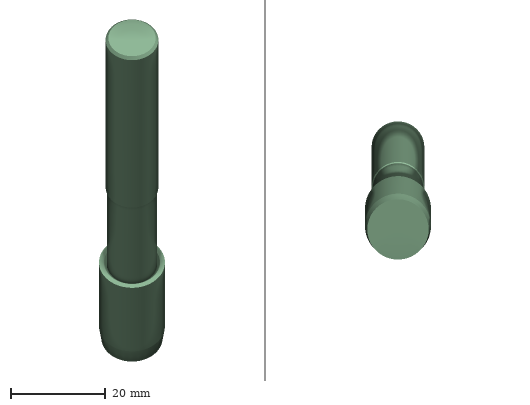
import cadquery as cq

total_length = 100.0

sleeve_diameter = 14.0
sleeve_length = 25.2
taper_length = 4.0
taper_end_diameter = 13.0
mouth_chamfer = 0.6

shank_diameter = 10.7
head_diameter = 11.2
head_bottom = 50.0
head_step_chamfer = (head_diameter - shank_diameter) / 2
tip_chamfer = 0.6


def revolve_profile(points):
    """Turn a closed (radius, height) outline about the Z axis."""
    return cq.Workplane("XZ").polyline(points).close().revolve(360, (0, 0), (0, 1))


def make_sleeve():
    """Tube whose bore fits the rod shank."""
    bore_radius = shank_diameter / 2
    outer_radius = sleeve_diameter / 2
    return revolve_profile([
        (bore_radius, 0),
        (taper_end_diameter / 2, 0),
        (outer_radius, taper_length),
        (outer_radius, sleeve_length),
        (bore_radius + mouth_chamfer, sleeve_length),
        (bore_radius, sleeve_length - mouth_chamfer),
    ])


def make_rod():
    """Stepped rod running the full length, with a chamfered tip."""
    shank_radius = shank_diameter / 2
    head_radius = head_diameter / 2
    return revolve_profile([
        (0, 0),
        (shank_radius, 0),
        (shank_radius, head_bottom),
        (head_radius, head_bottom + head_step_chamfer),
        (head_radius, total_length - tip_chamfer),
        (head_radius - tip_chamfer, total_length),
        (0, total_length),
    ])


sleeve = make_sleeve()
rod = make_rod()

result = cq.Compound.makeCompound([sleeve.val(), rod.val()])